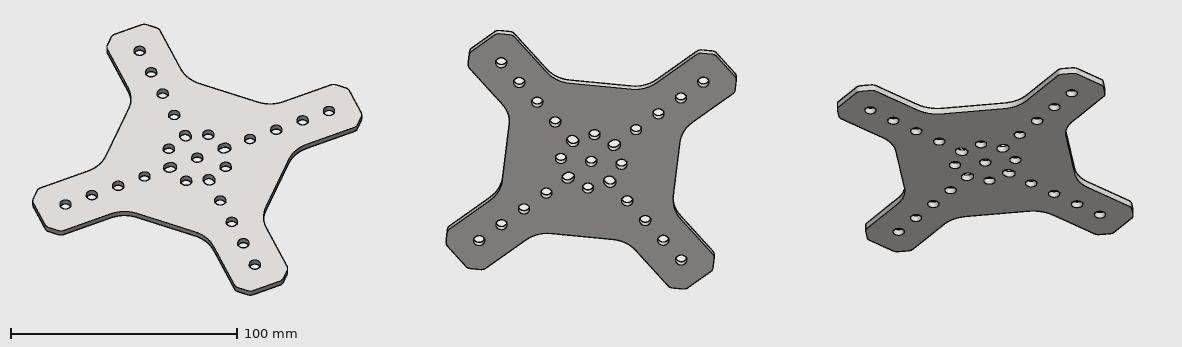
import cadquery as cq
import math

SPAN = 152.4
THICKNESS = 3.175
ARM_COUNT = 4
ARM_WIDTH = 25.4
HUB_SIDE = 75.92

TIP_CHAMFER = 5.0
TIP_CORNER_RADIUS = 3.0
INNER_CORNER_RADIUS = 15.0

HOLE_DIAMETER = 4.98
HOLE_PITCH = 12.7
ARM_ROW_STEPS = 5
RING_RADIUS = 13.47

HALF_SPAN = SPAN / 2
HALF_ARM = ARM_WIDTH / 2
HUB_HALF_DIAGONAL = HUB_SIDE / math.sqrt(2)
ARM_ROOT = HUB_HALF_DIAGONAL - HALF_ARM
SHOULDER = HALF_SPAN - TIP_CHAMFER
TIP_HALF_WIDTH = HALF_ARM - TIP_CHAMFER


def quarter_turn(point, turns):
    """Rotate a point about the origin by a number of 90 degree turns."""
    x, y = point
    for _ in range(turns):
        x, y = -y, x
    return (x, y)


def repeat_per_arm(points):
    """Repeat points around the origin, once for each arm."""
    return [quarter_turn(point, turn) for turn in range(ARM_COUNT) for point in points]


def round_corners(plate, corners, radius):
    """Fillet the upright edges that stand on the given outline points."""
    reach = 0.1
    for x, y in corners:
        corner = cq.selectors.BoxSelector(
            (x - reach, y - reach, 0),
            (x + reach, y + reach, THICKNESS),
        )
        plate = plate.edges("|Z").edges(corner).fillet(radius)
    return plate


def make_plate():
    """Cross-shaped plate with chamfered arm tips and rounded corners."""
    root_corners = [(ARM_ROOT, -HALF_ARM), (ARM_ROOT, HALF_ARM)]
    tip_corners = [
        (SHOULDER, -HALF_ARM),
        (HALF_SPAN, -TIP_HALF_WIDTH),
        (HALF_SPAN, TIP_HALF_WIDTH),
        (SHOULDER, HALF_ARM),
    ]
    arm_outline = [root_corners[0]] + tip_corners + [root_corners[1]]
    plate = cq.Workplane("XY").polyline(repeat_per_arm(arm_outline)).close().extrude(THICKNESS)
    plate = round_corners(plate, repeat_per_arm(root_corners), INNER_CORNER_RADIUS)
    return round_corners(plate, repeat_per_arm(tip_corners), TIP_CORNER_RADIUS)


def cut_round_holes(plate, centers):
    """Cut a through hole at each center."""
    holes = cq.Workplane("XY").pushPoints(centers).circle(HOLE_DIAMETER / 2).extrude(THICKNESS)
    return plate.cut(holes)


def cut_arm_slots(plate):
    """Cut a short radial slot at the inner end of every arm row, reaching from the row to the ring."""
    middle = (HOLE_PITCH + RING_RADIUS) / 2
    length = RING_RADIUS - HOLE_PITCH + HOLE_DIAMETER
    slot = cq.Workplane("XY").center(middle, 0).slot2D(length, HOLE_DIAMETER).extrude(THICKNESS)
    for arm in range(ARM_COUNT):
        plate = plate.cut(slot.rotate((0, 0, 0), (0, 0, 1), arm * 360 / ARM_COUNT))
    return plate


def arm_row_centers():
    """Evenly spaced row along every arm, outside the slots."""
    return repeat_per_arm([(number * HOLE_PITCH, 0) for number in range(2, ARM_ROW_STEPS + 1)])


def ring_centers():
    """One hole on each diagonal between the arms."""
    offset = RING_RADIUS / math.sqrt(2)
    return repeat_per_arm([(offset, offset)])


plate = make_plate()
plate = cut_round_holes(plate, [(0, 0)] + arm_row_centers() + ring_centers())
result = cut_arm_slots(plate)